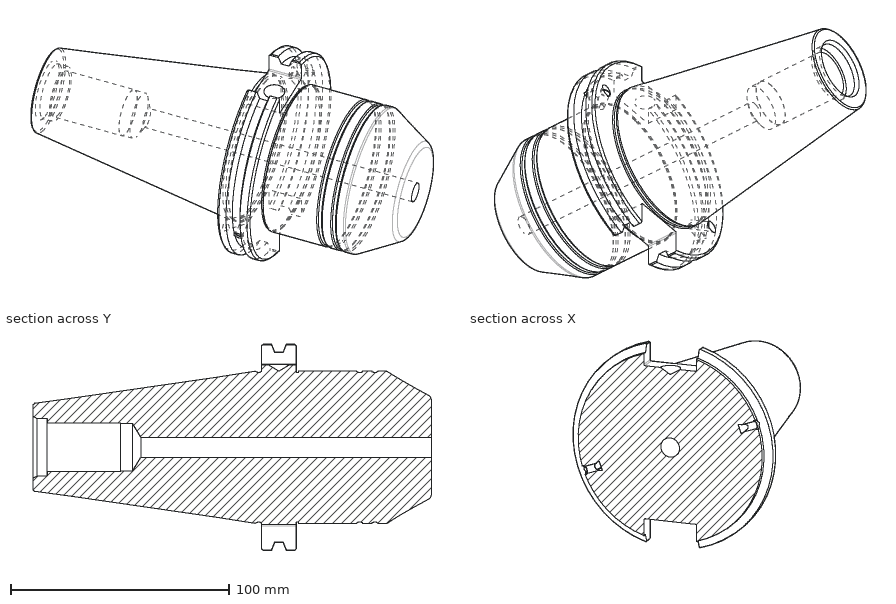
import cadquery as cq
import math

LENGTH = 182.6

TAPER_LARGE_DIAMETER = 70.0
TAPER_LENGTH = 101.7
TAPER_RATE = 7 / 24
TAPER_END_CHAMFER = 0.7

RELIEF_DIAMETER = 68.8
RELIEF_LEAD = 1.1
RELIEF_RUNOUT = 0.5

FLANGE_DIAMETER = 98.5
FLANGE_START = 104.6
FLANGE_WIDTH = 16.0
FLANGE_CHAMFER = 1.1
GROOVE_DIAMETER = 90.8
GROOVE_TOP_WIDTH = 7.0
GROOVE_BOTTOM_WIDTH = 3.8

BODY_DIAMETER = 70.0
BODY_START = 121.6
RING_GROOVE_DIAMETER = 68.8
RING_GROOVE_STARTS = (148.3, 155.2)
RING_GROOVE_WIDTH = 2.7
RING_GROOVE_SLOPE = 0.64

NOSE_START = 162.0
NOSE_ANGLE = 30.0
NOSE_EDGE_RADIUS = 1.8
NOSE_END_RADIUS = 3.0

BORE_MOUTH_DIAMETER = 28.3
BORE_MOUTH_ANGLE = 60.0
PILOT_DIAMETER = 26.1
PILOT_DEPTH = 6.5
BORE_DIAMETER = 22.0
BORE_DEPTH = 40.2
DRILL_DIAMETER = 21.5
DRILL_DEPTH = 45.6
DRILL_POINT_ANGLE = 118.0
COOLANT_DIAMETER = 9.0

SLOT_WIDTH = 25.7
SLOT_CORNER_RADIUS = 0.5
SLOT_RIM_CHAMFER = 0.45
TOP_SLOT_FLOOR = 37.8
BOTTOM_SLOT_FLOOR = 35.5
DIMPLE_DIAMETER = 9.5
DIMPLE_POINT_ANGLE = 118.0

COOLANT_HOLE_ANGLE = 20.0
FACE_HOLE_RADIUS = 42.0
FACE_HOLE_TILT = 35.0
FACE_HOLE_DIAMETER = 5.0
FACE_HOLE_DEPTH = 1.6
FACE_PASSAGE_DIAMETER = 4.2
GROOVE_HOLE_DIAMETER = 4.2
GROOVE_HOLE_DEPTH = 1.0
GROOVE_PASSAGE_DIAMETER = 3.3

FLANGE_END = FLANGE_START + FLANGE_WIDTH
FLANGE_MIDDLE = FLANGE_START + FLANGE_WIDTH / 2
OVERRUN = 1.8


def revolve_about_x(outline):
    """Turn a closed (x, radius) outline about the X axis."""
    return outline.close().revolve(360, (0, 0, 0), (1, 0, 0))


def trapezoid_groove(middle, outer_diameter, inner_diameter, top_width, bottom_width):
    """Outline points of a groove with sloped sides, in the +X direction."""
    return [
        (middle - top_width / 2, outer_diameter / 2),
        (middle - bottom_width / 2, inner_diameter / 2),
        (middle + bottom_width / 2, inner_diameter / 2),
        (middle + top_width / 2, outer_diameter / 2),
    ]


def make_taper():
    """Taper and the relief groove in front of the flange."""
    large_radius = TAPER_LARGE_DIAMETER / 2
    slope = TAPER_RATE / 2
    chamfer_radius = large_radius - slope * (TAPER_LENGTH - TAPER_END_CHAMFER)
    relief_radius = RELIEF_DIAMETER / 2
    points = [
        (0, 0),
        (0, chamfer_radius - TAPER_END_CHAMFER),
        (TAPER_END_CHAMFER, chamfer_radius),
        (TAPER_LENGTH, large_radius),
        (TAPER_LENGTH + RELIEF_LEAD, relief_radius),
        (FLANGE_START - RELIEF_RUNOUT, relief_radius),
        (FLANGE_START, large_radius),
        (FLANGE_MIDDLE, large_radius),
        (FLANGE_MIDDLE, 0),
    ]
    return revolve_about_x(cq.Workplane("XY").polyline(points))


def make_flange():
    """Flange disc with chamfered rims and the gripper groove."""
    radius = FLANGE_DIAMETER / 2
    rim = radius - FLANGE_CHAMFER
    points = [
        (FLANGE_START, 0),
        (FLANGE_START, rim),
        (FLANGE_START + FLANGE_CHAMFER, radius),
        *trapezoid_groove(FLANGE_MIDDLE, FLANGE_DIAMETER, GROOVE_DIAMETER,
                          GROOVE_TOP_WIDTH, GROOVE_BOTTOM_WIDTH),
        (FLANGE_END - FLANGE_CHAMFER, radius),
        (FLANGE_END, rim),
        (FLANGE_END, 0),
    ]
    return revolve_about_x(cq.Workplane("XY").polyline(points))


def make_body():
    """Cylindrical body with ring grooves, ending in the conical nose."""
    radius = BODY_DIAMETER / 2
    nose_radius = radius - (LENGTH - NOSE_START) * math.tan(math.radians(NOSE_ANGLE))
    points = [
        (FLANGE_MIDDLE, 0),
        (FLANGE_MIDDLE, RELIEF_DIAMETER / 2),
        (BODY_START, RELIEF_DIAMETER / 2),
        (BODY_START, radius),
    ]
    for start in RING_GROOVE_STARTS:
        points += trapezoid_groove(start + RING_GROOVE_WIDTH / 2, BODY_DIAMETER, RING_GROOVE_DIAMETER,
                                   RING_GROOVE_WIDTH, RING_GROOVE_WIDTH - 2 * RING_GROOVE_SLOPE)
    points += [(NOSE_START, radius), (LENGTH, nose_radius), (LENGTH, 0)]
    body = revolve_about_x(cq.Workplane("XY").polyline(points))
    body = body.faces(">X").edges().fillet(NOSE_END_RADIUS)
    nose_edge = cq.selectors.NearestToPointSelector((NOSE_START, 0, 0))
    return body.edges(nose_edge).fillet(NOSE_EDGE_RADIUS)


def make_bore():
    """Stepped bore, drilled from the taper end, as a solid to cut away."""
    mouth_width = (BORE_MOUTH_DIAMETER - PILOT_DIAMETER) / 2
    mouth_depth = mouth_width / math.tan(math.radians(BORE_MOUTH_ANGLE / 2))
    bore_radius = BORE_DIAMETER / 2
    drill_radius = DRILL_DIAMETER / 2
    coolant_radius = COOLANT_DIAMETER / 2
    point_length = (drill_radius - coolant_radius) / math.tan(math.radians(DRILL_POINT_ANGLE / 2))
    points = [
        (0, 0),
        (0, BORE_MOUTH_DIAMETER / 2),
        (mouth_depth, PILOT_DIAMETER / 2),
        (PILOT_DEPTH, PILOT_DIAMETER / 2),
        (PILOT_DEPTH, bore_radius),
        (BORE_DEPTH, bore_radius),
        (BORE_DEPTH, drill_radius),
        (DRILL_DEPTH, drill_radius),
        (DRILL_DEPTH + point_length, coolant_radius),
        (LENGTH, coolant_radius),
        (LENGTH, 0),
    ]
    return revolve_about_x(cq.Workplane("XY").polyline(points))


def make_slot(floor, side):
    """Drive slot above (side = 1) or below (side = -1) the axis, wider where it breaks the flange rim."""
    half_width = SLOT_WIDTH / 2
    top = FLANGE_DIAMETER / 2 + OVERRUN
    mouth_half_width = half_width + SLOT_RIM_CHAMFER
    rim_height = math.sqrt((FLANGE_DIAMETER / 2) ** 2 - mouth_half_width ** 2)
    chamfer_bottom = rim_height - SLOT_RIM_CHAMFER
    top_half_width = half_width + top - chamfer_bottom
    points = [
        (-half_width, floor),
        (half_width, floor),
        (half_width, chamfer_bottom),
        (top_half_width, top),
        (-top_half_width, top),
        (-half_width, chamfer_bottom),
    ]
    slot = cq.Workplane("YZ", origin=(FLANGE_START, 0, 0)).polyline(points).close().extrude(FLANGE_WIDTH)
    slot = slot.faces("<Z").edges("|X").fillet(SLOT_CORNER_RADIUS)
    return slot if side > 0 else slot.mirror("XY")


def make_dimple():
    """Conical recess in the floor of the top slot."""
    radius = DIMPLE_DIAMETER / 2
    depth = radius / math.tan(math.radians(DIMPLE_POINT_ANGLE / 2))
    centre = cq.Vector(FLANGE_MIDDLE, 0, TOP_SLOT_FLOOR)
    cone = cq.Solid.makeCone(radius, 0, depth, centre, cq.Vector(0, 0, -1))
    return cq.Workplane(cone)


def make_coolant_holes():
    """Tilted face hole and radial groove hole that meet, on the +Y side."""
    tilt = math.radians(FACE_HOLE_TILT)
    inward = cq.Vector(math.cos(tilt), -math.sin(tilt), 0)
    face_point = cq.Vector(FLANGE_START, FACE_HOLE_RADIUS, 0)
    meeting_length = (FLANGE_MIDDLE - FLANGE_START) / math.cos(tilt)
    meeting_radius = FACE_HOLE_RADIUS - meeting_length * math.sin(tilt)
    face_start = face_point - inward * FACE_HOLE_DIAMETER
    face_hole_length = FACE_HOLE_DIAMETER + FACE_HOLE_DEPTH
    groove_radius = FLANGE_DIAMETER / 2
    groove_top = cq.Vector(FLANGE_MIDDLE, groove_radius, 0)
    to_axis = cq.Vector(0, -1, 0)
    counterbore_depth = groove_radius - GROOVE_DIAMETER / 2 + GROOVE_HOLE_DEPTH

    cylinder = cq.Solid.makeCylinder
    holes = (
        cq.Workplane(cylinder(FACE_HOLE_DIAMETER / 2, face_hole_length, face_start, inward))
        .add(cylinder(FACE_PASSAGE_DIAMETER / 2, meeting_length, face_point, inward))
        .add(cylinder(GROOVE_HOLE_DIAMETER / 2, counterbore_depth, groove_top, to_axis))
        .add(cylinder(GROOVE_PASSAGE_DIAMETER / 2, groove_radius - meeting_radius, groove_top, to_axis))
        .combine()
    )
    return holes.rotate((0, 0, 0), (1, 0, 0), COOLANT_HOLE_ANGLE)


result = make_taper().union(make_flange()).union(make_body())
result = result.cut(make_bore())
result = result.cut(make_slot(TOP_SLOT_FLOOR, 1)).cut(make_slot(BOTTOM_SLOT_FLOOR, -1))
result = result.cut(make_dimple())
coolant_holes = make_coolant_holes()
for turn in (0, 180):
    result = result.cut(coolant_holes.rotate((0, 0, 0), (1, 0, 0), turn))